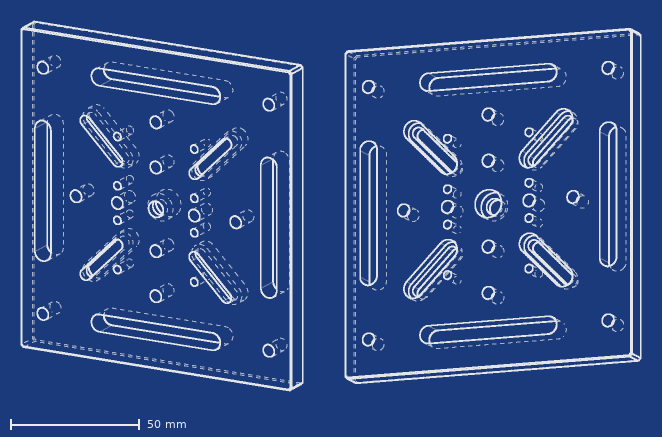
import cadquery as cq
import math

plate_width = 120.0
plate_thickness = 10.0
plate_height = 130.0
corner_chamfer = 1.0
face_chamfer = 0.5
back_y = plate_thickness / 2

mount_diameter = 5.0
pin_diameter = 3.2
centre_diameter = 6.5
centre_bore_diameter = 11.0
centre_bore_depth = 6.5
inner_offset = 17.0
outer_offset = 35.4
edge_offset = 50.0
pin_rows = (7.0, 27.0)

edge_slot_width = 7.0
edge_slot_length = 57.1

diagonal_slot_width = 4.5
diagonal_recess_width = 8.0
diagonal_recess_depth = 5.0
diagonal_angle = 45
diagonal_start = inner_offset
diagonal_end = 31.2
diagonal_centre = (diagonal_start + diagonal_end) / 2
diagonal_span = (diagonal_end - diagonal_start) * math.sqrt(2)

SIGNS = (-1, 1)
QUADRANTS = [(sx, sz) for sx in SIGNS for sz in SIGNS]


def back_plane():
    """Sketch plane on the back face, drawn in X and Z and extruded toward the front."""
    return cq.Workplane("XZ", origin=(0, back_y, 0))


def holes(points, diameter, depth=plate_thickness):
    """Round holes cut from the back face at (x, z) points."""
    return back_plane().pushPoints(points).circle(diameter / 2).extrude(depth)


def slot(x, z, length, width, angle, depth=plate_thickness):
    """Round-ended slot cut from the back face; length is the overall length."""
    return back_plane().center(x, z).slot2D(length, width, angle).extrude(depth)


def make_plate():
    plate = cq.Workplane("XY").box(plate_width, plate_thickness, plate_height)
    plate = plate.edges("|Y").chamfer(corner_chamfer)
    return plate.faces("<Y or >Y").chamfer(face_chamfer)


def cut_round_holes(body):
    cross_points = []
    for offset in (inner_offset, outer_offset):
        for sign in SIGNS:
            cross_points.append((sign * offset, 0))
            cross_points.append((0, sign * offset))
    corner_points = [(sx * edge_offset, sz * edge_offset) for sx, sz in QUADRANTS]
    pin_points = [(sx * inner_offset, sz * row) for sx, sz in QUADRANTS for row in pin_rows]
    body = body.cut(holes(cross_points + corner_points, mount_diameter))
    return body.cut(holes(pin_points, pin_diameter))


def cut_centre_hole(body):
    body = body.cut(holes([(0, 0)], centre_diameter))
    return body.cut(holes([(0, 0)], centre_bore_diameter, centre_bore_depth))


def cut_edge_slots(body):
    for sign in SIGNS:
        body = body.cut(slot(0, sign * edge_offset, edge_slot_length, edge_slot_width, 0))
        body = body.cut(slot(sign * edge_offset, 0, edge_slot_length, edge_slot_width, 90))
    return body


def cut_diagonal_slots(body):
    for sx, sz in QUADRANTS:
        x = sx * diagonal_centre
        z = sz * diagonal_centre
        angle = diagonal_angle * sx * sz
        for width, depth in (
            (diagonal_slot_width, plate_thickness),
            (diagonal_recess_width, diagonal_recess_depth),
        ):
            body = body.cut(slot(x, z, diagonal_span + width, width, angle, depth))
    return body


result = make_plate()
result = cut_round_holes(result)
result = cut_centre_hole(result)
result = cut_edge_slots(result)
result = cut_diagonal_slots(result)